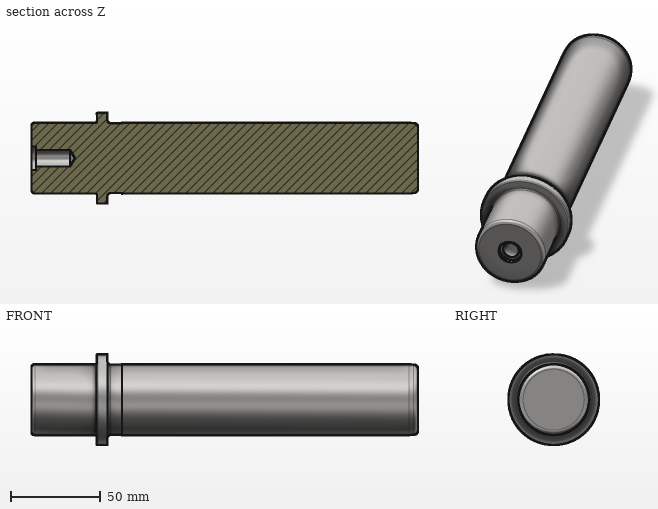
import cadquery as cq
import math

length = 217.0
shaft_radius = 20.0

collar_start = 36.7
collar_end = 42.7
collar_diameter = 51.0
collar_radius = collar_diameter / 2
collar_edge_radius = 0.7

relief_end = 51.0
relief_radius = 19.7
collar_root_radius = 1.7

front_root_radius = 0.7

head_edge_radius = 2.06
lead_in_length = 2.5
lead_in_depth = 0.2
tip_edge_radius = 2.5

counterbore_radius = 6.5
counterbore_depth = 2.5
hole_radius = 4.5
hole_depth = 21.7
drill_point_angle = 118.0


def quarter_arc_middle(center_x, center_r, radius, side_x, side_r):
    """Midpoint of a quarter arc lying toward the given signs of x and r."""
    offset = radius * math.sqrt(0.5)
    return (center_x + side_x * offset, center_r + side_r * offset)


def make_pin():
    head_center_r = shaft_radius - head_edge_radius
    tip_start = length - tip_edge_radius
    tip_radius = shaft_radius - lead_in_depth
    tip_center_r = tip_radius - tip_edge_radius
    front_root_start = collar_start - front_root_radius
    front_root_center_r = shaft_radius + front_root_radius
    root_end = collar_end + collar_root_radius
    root_center_r = relief_radius + collar_root_radius
    collar_rim_r = collar_radius - collar_edge_radius

    profile = (
        cq.Workplane("XY")
        .moveTo(0, 0)
        .lineTo(0, head_center_r)
        .threePointArc(
            quarter_arc_middle(head_edge_radius, head_center_r, head_edge_radius, -1, 1),
            (head_edge_radius, shaft_radius),
        )
        .lineTo(front_root_start, shaft_radius)
        .threePointArc(
            quarter_arc_middle(front_root_start, front_root_center_r, front_root_radius, 1, -1),
            (collar_start, front_root_center_r),
        )
        .lineTo(collar_start, collar_rim_r)
        .threePointArc(
            quarter_arc_middle(collar_start + collar_edge_radius, collar_rim_r, collar_edge_radius, -1, 1),
            (collar_start + collar_edge_radius, collar_radius),
        )
        .lineTo(collar_end, collar_radius)
        .lineTo(collar_end, root_center_r)
        .threePointArc(
            quarter_arc_middle(root_end, root_center_r, collar_root_radius, -1, -1),
            (root_end, relief_radius),
        )
        .lineTo(relief_end, relief_radius)
        .lineTo(relief_end, shaft_radius)
        .lineTo(tip_start - lead_in_length, shaft_radius)
        .lineTo(tip_start, tip_radius)
        .threePointArc(
            quarter_arc_middle(tip_start, tip_center_r, tip_edge_radius, 1, 1),
            (length, tip_center_r),
        )
        .lineTo(length, 0)
        .close()
    )
    return profile.revolve(360, (0, 0, 0), (1, 0, 0))


def make_center_hole():
    point_depth = hole_radius / math.tan(math.radians(drill_point_angle / 2))
    profile = (
        cq.Workplane("XY")
        .moveTo(0, 0)
        .lineTo(0, counterbore_radius)
        .lineTo(counterbore_depth, counterbore_radius)
        .lineTo(counterbore_depth, hole_radius)
        .lineTo(hole_depth, hole_radius)
        .lineTo(hole_depth + point_depth, 0)
        .close()
    )
    return profile.revolve(360, (0, 0, 0), (1, 0, 0))


result = make_pin().cut(make_center_hole())